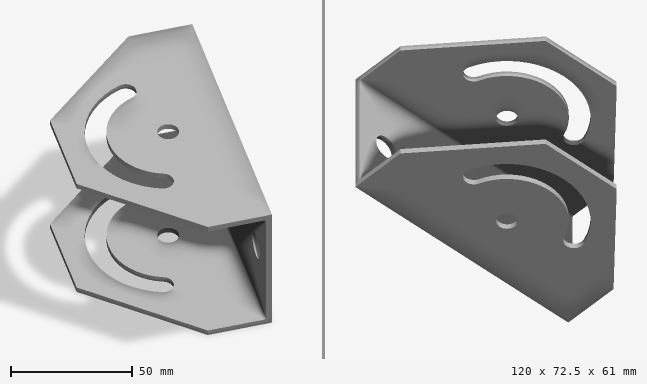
import cadquery as cq
import math

length = 120.0
depth = 72.5
height = 61.0
thickness = 2.5
inner_bend_radius = 1.1

shoulder_depth = 27.5
front_edge_length = 40.1
pivot_diameter = 9.0
pivot_y = -shoulder_depth

slot_width = pivot_diameter
slot_radius = 30.0
slot_end_angle = 20.0

mount_diameter = 11.0
mount_spacing = 45.0


def make_channel():
    """U-shaped body, with the back face at Y = 0."""
    inner_height = height - 2 * thickness
    body = cq.Workplane("XY").box(length, depth, height).translate((0, -depth / 2, 0))
    cavity = (
        cq.Workplane("XY")
        .box(length, depth, inner_height)
        .edges("|X and >Y")
        .fillet(inner_bend_radius)
        .translate((0, -depth / 2 - thickness, 0))
    )
    return body.cut(cavity)


def make_flange_envelope():
    """Tapered outline shared by both flanges, over the full height."""
    half_length = length / 2
    half_front = front_edge_length / 2
    outline = [
        (-half_length, 0),
        (half_length, 0),
        (half_length, -shoulder_depth),
        (half_front, -depth),
        (-half_front, -depth),
        (-half_length, -shoulder_depth),
    ]
    return cq.Workplane("XY").polyline(outline).close().extrude(height / 2, both=True)


def make_pivot_hole():
    return (
        cq.Workplane("XY")
        .center(0, pivot_y)
        .circle(pivot_diameter / 2)
        .extrude(height / 2, both=True)
    )


def make_arc_slot():
    """Round-ended slot swept below the pivot, cutting both flanges."""
    angle = math.radians(slot_end_angle)
    inner_radius = slot_radius - slot_width / 2
    outer_radius = slot_radius + slot_width / 2

    def end_point(radius, side):
        return (side * radius * math.cos(angle), -radius * math.sin(angle))

    def cap_point(side):
        """Outermost point of a slot end, square to the end radius."""
        center_x, center_y = end_point(slot_radius, side)
        cap = slot_width / 2
        return (center_x + side * cap * math.sin(angle), center_y + cap * math.cos(angle))

    return (
        cq.Workplane("XY")
        .center(0, pivot_y)
        .moveTo(*end_point(outer_radius, -1))
        .threePointArc((0, -outer_radius), end_point(outer_radius, 1))
        .threePointArc(cap_point(1), end_point(inner_radius, 1))
        .threePointArc((0, -inner_radius), end_point(inner_radius, -1))
        .threePointArc(cap_point(-1), end_point(outer_radius, -1))
        .close()
        .extrude(height / 2, both=True)
    )


def make_mount_holes():
    """Row of three holes through the web."""
    return (
        cq.Workplane("XZ")
        .pushPoints([(step * mount_spacing, 0) for step in (-1, 0, 1)])
        .circle(mount_diameter / 2)
        .extrude(thickness)
    )


result = (
    make_channel()
    .intersect(make_flange_envelope())
    .cut(make_pivot_hole())
    .cut(make_arc_slot())
    .cut(make_mount_holes())
)